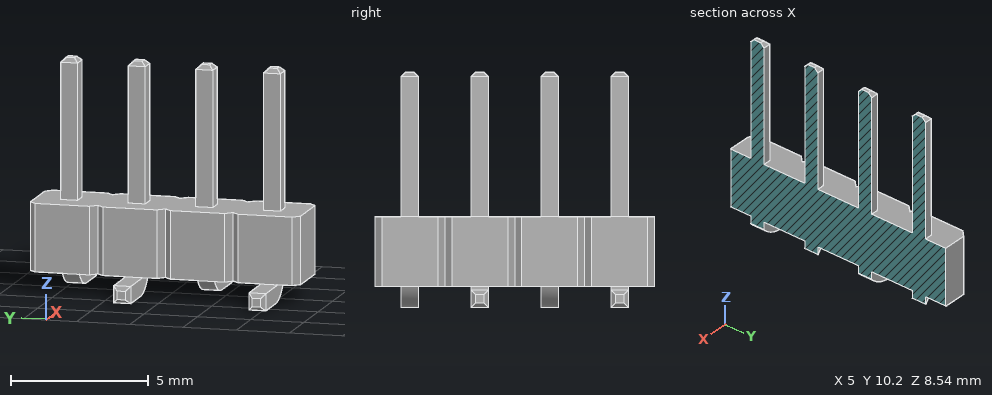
import cadquery as cq


pin_count = 4
pitch = 2.54
body_width = 2.54
body_height = 2.54
corner_chamfer = 0.25

pin_size = 0.64
pin_top = 5.24
leg_drop = 0.76
leg_span = 5.0
bend_inner_radius = pin_size
tip_chamfer = 0.16

half_pin = pin_size / 2
bend_outer_radius = bend_inner_radius + pin_size
bend_offset = half_pin + bend_inner_radius
bend_height = bend_outer_radius - leg_drop
tip_size = pin_size - 2 * tip_chamfer
pin_shoulder = body_height + pin_top - tip_chamfer
leg_shoulder = leg_span / 2 - tip_chamfer
leg_axis_height = half_pin - leg_drop


def body_cell(y):
    """One body block with its four upright corners chamfered."""
    return (
        cq.Workplane("XY")
        .box(body_width, pitch, body_height, centered=(True, True, False))
        .edges("|Z")
        .chamfer(corner_chamfer)
        .translate((0, y, 0))
    )


def tapered_tip(base_center, direction):
    """Truncated pyramid closing a square pin end."""
    base = cq.Plane(origin=base_center, xDir=(0, 1, 0), normal=direction)
    return (
        cq.Workplane(base)
        .rect(pin_size, pin_size)
        .workplane(offset=tip_chamfer)
        .rect(tip_size, tip_size)
        .loft(ruled=True)
    )


def bent_pin(y, side):
    """Square pin: upright post, quarter bend and a leg toward side (+1 or -1) along X."""
    path = (
        cq.Workplane("XZ", origin=(0, y, 0))
        .moveTo(0, pin_shoulder)
        .lineTo(0, bend_height)
        .tangentArcPoint((side * bend_offset, leg_axis_height), relative=False)
        .lineTo(side * leg_shoulder, leg_axis_height)
    )
    shaft = (
        cq.Workplane("XY", origin=(0, y, pin_shoulder))
        .rect(pin_size, pin_size)
        .sweep(path)
    )
    top_tip = tapered_tip((0, y, pin_shoulder), (0, 0, 1))
    leg_tip = tapered_tip((side * leg_shoulder, y, leg_axis_height), (side, 0, 0))
    return shaft.union(top_tip).union(leg_tip)


pin_positions = [(i - (pin_count - 1) / 2) * pitch for i in range(pin_count)]

result = body_cell(pin_positions[0])
for y in pin_positions[1:]:
    result = result.union(body_cell(y))
result = result.clean()

for i, y in enumerate(pin_positions):
    leg_side = -1 if i % 2 == 0 else 1
    result = result.union(bent_pin(y, leg_side))